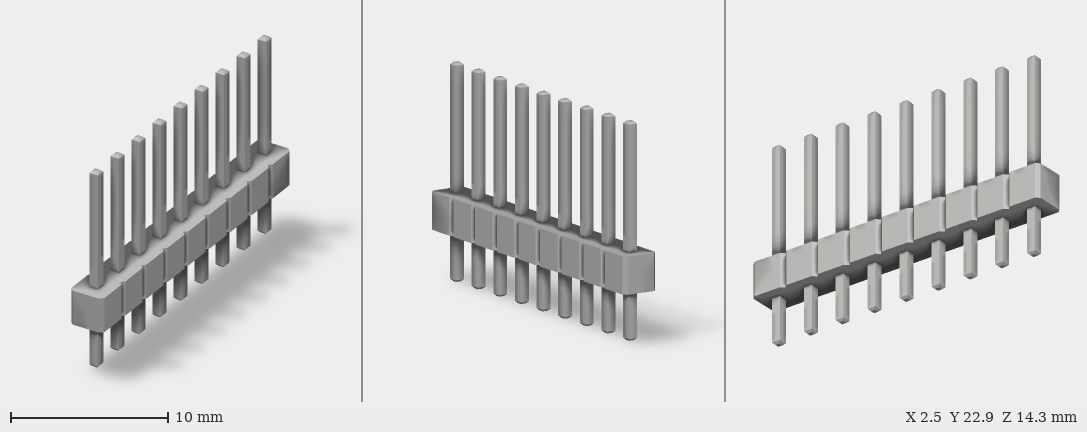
import cadquery as cq

pin_count = 9
row_length = 22.85
pitch = row_length / pin_count

body_width = 2.5
body_height = 2.5
corner_chamfer = 0.25

pin_width = 0.65
pin_length = 14.3
pin_below_body = 3.31
tip_chamfer = 0.149


def make_body_segment(y):
    """One pin's share of the body; the chamfers of neighbours form V-notches."""
    return (
        cq.Workplane("XY")
        .box(body_width, pitch, body_height, centered=(True, True, False))
        .edges("|Z")
        .chamfer(corner_chamfer)
        .translate((0, y, 0))
    )


def make_pin(y):
    """A square pin through the body, tapered at both tips."""
    return (
        cq.Workplane("XY")
        .box(pin_width, pin_width, pin_length, centered=(True, True, False))
        .faces("<Z or >Z")
        .chamfer(tip_chamfer)
        .translate((0, y, -pin_below_body))
    )


first_pin_y = (pitch - row_length) / 2
header = cq.Workplane("XY")
for index in range(pin_count):
    pin_y = first_pin_y + index * pitch
    header = header.union(make_body_segment(pin_y)).union(make_pin(pin_y))

result = header.clean()